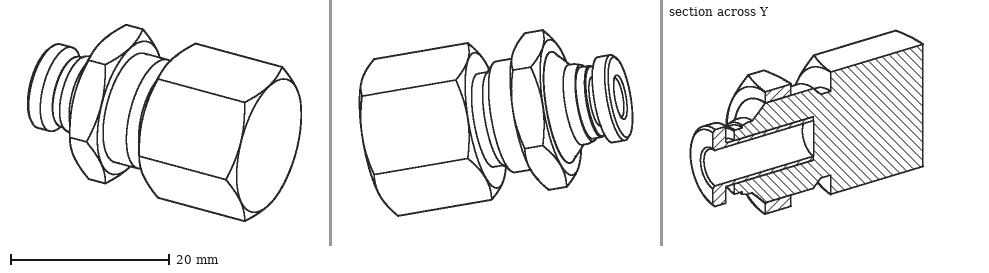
import cadquery as cq
import math


across_flats = 17.45
across_corners = across_flats / math.cos(math.radians(30))
hex_face_diameter = 17.4
hex_chamfer_angle = 30

flange_end_x = 2.0
body_start_x = 3.2
collar_end_x = 4.47
taper_end_x = 5.25
land_end_x = 5.95
nut_start_x = 7.9
nut_end_x = 11.9
barrel_end_x = 15.25
hex_start_x = 17.85
total_length = 31.9

flange_diameter = 11.0
flange_chamfer = 0.35
shank_diameter = 6.3
shank_root_fillet = 0.2
bore_diameter = 5.0
bore_chamfer = 0.32
socket_end_x = barrel_end_x

collar_diameter = 9.2
collar_chamfer = 0.13
taper_start_diameter = 9.83
land_diameter = 10.3
barrel_diameter = 14.3
neck_diameter = 12.0
cone_length = (barrel_diameter - land_diameter) / 2
neck_cone_length = (barrel_diameter - neck_diameter) / 2


def cylinder_x(diameter, start_x, end_x):
    """Solid cylinder on the X axis."""
    return cq.Workplane("YZ", origin=(start_x, 0, 0)).circle(diameter / 2).extrude(end_x - start_x)


def revolve_x(outline):
    """Revolve a closed outline of (x, radius) points about the X axis."""
    return cq.Workplane("XY").polyline(outline).close().revolve(360, (0, 0, 0), (1, 0, 0))


def chamfered_hexagon(start_x, end_x):
    """Hexagonal prism along X, corners along Y, with both ends turned to a cone."""
    face_radius = hex_face_diameter / 2
    corner_radius = across_corners / 2
    run = (corner_radius - face_radius) * math.tan(math.radians(hex_chamfer_angle))
    prism = (
        cq.Workplane("YZ", origin=(start_x, 0, 0))
        .polygon(6, across_corners)
        .extrude(end_x - start_x)
    )
    envelope = revolve_x([
        (start_x, 0),
        (start_x, face_radius),
        (start_x + run, corner_radius),
        (end_x - run, corner_radius),
        (end_x, face_radius),
        (end_x, 0),
    ])
    return prism.intersect(envelope)


def make_release_sleeve():
    """Flanged tube that slides in the socket of the body."""
    flange = cylinder_x(flange_diameter, 0, flange_end_x).faces("<X").chamfer(flange_chamfer)
    shank = cylinder_x(shank_diameter, flange_end_x, socket_end_x)
    sleeve = flange.union(shank)
    shank_root = sleeve.faces(">X[-2]").edges(cq.selectors.RadiusNthSelector(0))
    sleeve = shank_root.fillet(shank_root_fillet)
    bore = cylinder_x(bore_diameter, 0, socket_end_x)
    sleeve = sleeve.cut(bore)
    bore_mouth = sleeve.faces("<X").edges(cq.selectors.RadiusNthSelector(0))
    return bore_mouth.chamfer(bore_chamfer)


def make_body():
    """Turned barrel with a blind socket in front and a hexagon behind."""
    turned = revolve_x([
        (body_start_x, 0),
        (body_start_x, collar_diameter / 2 - collar_chamfer),
        (body_start_x + collar_chamfer, collar_diameter / 2),
        (collar_end_x, collar_diameter / 2),
        (collar_end_x, taper_start_diameter / 2),
        (taper_end_x, land_diameter / 2),
        (land_end_x, land_diameter / 2),
        (land_end_x + cone_length, barrel_diameter / 2),
        (barrel_end_x, barrel_diameter / 2),
        (barrel_end_x + neck_cone_length, neck_diameter / 2),
        (hex_start_x, neck_diameter / 2),
        (hex_start_x, 0),
    ])
    socket = cylinder_x(shank_diameter, body_start_x, socket_end_x)
    return turned.union(chamfered_hexagon(hex_start_x, total_length)).cut(socket)


def make_nut():
    """Hexagonal bulkhead nut around the barrel."""
    return chamfered_hexagon(nut_start_x, nut_end_x).cut(
        cylinder_x(barrel_diameter, nut_start_x, nut_end_x)
    )


release_sleeve = make_release_sleeve()
body = make_body()
nut = make_nut()

result = cq.Compound.makeCompound([release_sleeve.val(), body.val(), nut.val()])